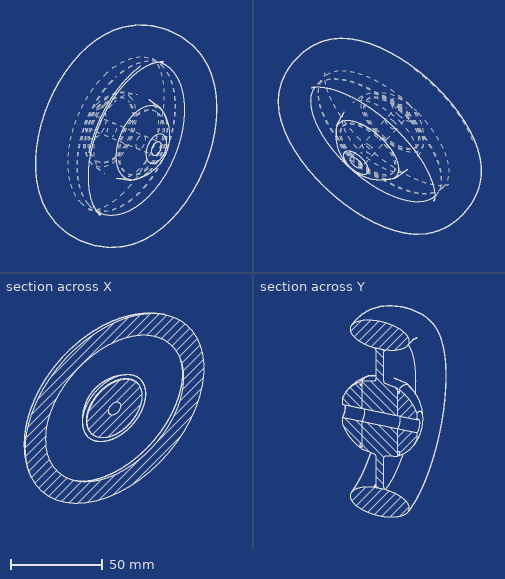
import cadquery as cq

tyre_radius = 62.5
tyre_half_width = 17.5
section_half_height = 9.1
section_radius = tyre_radius - section_half_height

web_half_thickness = 2.5
web_fillet = 1.0
seat_half_width = web_half_thickness + web_fillet
seat_radius = section_radius - section_half_height * (1 - (seat_half_width / tyre_half_width) ** 2) ** 0.5
hub_root_radius = 23.4
hub_end_radius = 22.1
hub_half_length = 10.5
hub_end_fillet = 0.5

overall_half_length = 22.0
dome_radius = 25.0
dome_rim_radius = 21.4
dome_flat_radius = 8.5
neck_radius = 18.8
dome_centre = overall_half_length - (dome_radius**2 - dome_flat_radius**2) ** 0.5
dome_rim_x = dome_centre + (dome_radius**2 - dome_rim_radius**2) ** 0.5
dome_middle_radius = (dome_rim_radius + dome_flat_radius) / 2
dome_middle_x = dome_centre + (dome_radius**2 - dome_middle_radius**2) ** 0.5

bore_radius = 4.0


def turned(profile):
    """Revolve a closed profile (X along the axle, Y as radius) about the X axis."""
    return profile.revolve(360, (0, 0, 0), (1, 0, 0))


def make_tyre():
    """The elliptical ring, trimmed on its inside by the seat of the core."""
    section = cq.Workplane("XY").center(0, section_radius).ellipse(tyre_half_width, section_half_height)
    ring = section.revolve(360, (0, -section_radius, 0), (1, -section_radius, 0))
    seat = cq.Workplane("YZ").circle(seat_radius).extrude(tyre_half_width, both=True)
    return ring.cut(seat)


def make_core_half():
    """The +X half of the core, from its middle plane out to the hub end."""
    arc_offset = web_fillet * (1 - 0.5**0.5)
    profile = (
        cq.Workplane("XY")
        .moveTo(0, bore_radius)
        .lineTo(hub_half_length, bore_radius)
        .lineTo(hub_half_length, hub_end_radius - hub_end_fillet)
        .radiusArc((hub_half_length - hub_end_fillet, hub_end_radius), -hub_end_fillet)
        .lineTo(seat_half_width, hub_root_radius)
        .threePointArc(
            (web_half_thickness + arc_offset, hub_root_radius + arc_offset),
            (web_half_thickness, hub_root_radius + web_fillet),
        )
        .lineTo(web_half_thickness, seat_radius - web_fillet)
        .threePointArc(
            (web_half_thickness + arc_offset, seat_radius - arc_offset),
            (seat_half_width, seat_radius),
        )
        .lineTo(0, seat_radius)
        .close()
    )
    return turned(profile)


def make_core():
    """The whole core, two mirrored halves joined at the middle plane."""
    half = make_core_half()
    return half.union(half.mirror("YZ"))


def make_cap():
    """The cap on the +X side."""
    profile = (
        cq.Workplane("XY")
        .moveTo(hub_half_length, bore_radius)
        .lineTo(overall_half_length, bore_radius)
        .lineTo(overall_half_length, dome_flat_radius)
        .threePointArc((dome_middle_x, dome_middle_radius), (dome_rim_x, dome_rim_radius))
        .lineTo(dome_rim_x, neck_radius)
        .lineTo(hub_half_length, neck_radius)
        .close()
    )
    return turned(profile)


tyre = make_tyre()
core = make_core()
caps = [make_cap().rotate((0, 0, 0), (0, 0, 1), turn) for turn in (0, 180)]

result = cq.Compound.makeCompound([tyre.val(), core.val(), *[cap.val() for cap in caps]])